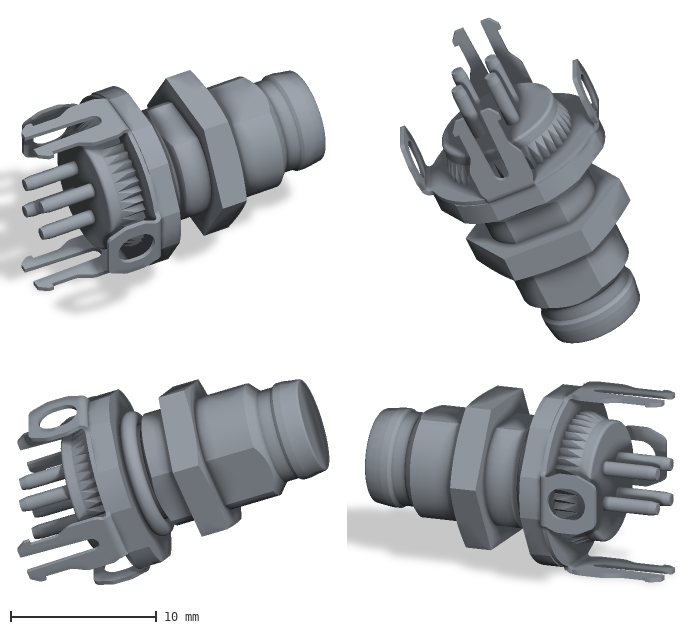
import cadquery as cq
import math


SOCKET_DIAMETER = 6.5
COLLAR_DIAMETER = 6.9
MATING_EDGE_FILLET = 0.17
COLLAR_START_DEPTH = 1.25
COLLAR_END_DEPTH = 1.75
SOCKET_NECK_DEPTH = 2.01
BODY_CONE_DEPTH = 2.97
BODY_START_DEPTH = 3.67
BODY_DIAMETER = 8.01
BODY_ACROSS_FLATS = 6.97
BODY_END_DEPTH = 11.13
RING_NECK_DIAMETER = 6.7
RING_NECK_DEPTH = 11.47

NUT_ACROSS_FLATS = 10.03
NUT_START_DEPTH = 7.19
NUT_THICKNESS = 2.05
NUT_CHAMFER_DEPTH = 0.2

RING_OUTER_DIAMETER = 8.9
RING_SECTION_DIAMETER = 1.19
RING_CENTER_DEPTH = 12.17
FLANGE_DEPTH = 12.68
FLANGE_DIAMETER = 12.49
FLANGE_ACROSS_FLATS = 11.98
FLANGE_THICKNESS = 1.53

SHEET = 0.32
PLATE_DEPTH = FLANGE_DEPTH + FLANGE_THICKNESS
PLATE_DIAMETER = 12.3
BEND_INNER_RADIUS = 0.28
BEND_OUTER_RADIUS = BEND_INNER_RADIUS + SHEET
BEND_END_DEPTH = PLATE_DEPTH + BEND_OUTER_RADIUS
BEND_WIDTH = 3.48
LEAF_ROOT_FILLET = 0.42
LUG_SPAN = 13.3
PRONG_SPAN = 12.8
LEAF_SIDE_RADIUS = 0.95

LUG_WIDTH = 4.15
LUG_WIDE_START_DEPTH = 15.6
LUG_WIDE_END_DEPTH = 17.07
LUG_END_DEPTH = 18.42
LUG_END_WIDTH = 2.95
LUG_END_CORNER_RADIUS = 0.5
LUG_HOLE_LENGTH = 2.82
LUG_HOLE_WIDTH = 2.27
LUG_HOLE_DEPTH = 16.3

PRONG_WIDTH = 3.9
PRONG_WIDE_START_DEPTH = 15.25
PRONG_WIDE_END_DEPTH = 17.2
PRONG_WAIST_WIDTH = 2.85
PRONG_WAIST_DEPTH = 18.2
BARB_DEPTH = 20.18
BARB_WIDTH = 3.48
BARB_TAPER_DEPTH = 20.56
PRONG_TIP_DEPTH = 21.2
PRONG_TIP_WIDTH = 2.59
PRONG_TIP_CORNER_RADIUS = 0.21
SLOT_TOP_DEPTH = 15.7
SLOT_TOP_RADIUS = 0.5
SLOT_MOUTH_WIDTH = 1.31

BOSS_DIAMETER = 8.4
BOSS_END_DEPTH = 17.02
BOSS_EDGE_FILLET = 0.21
TOOTH_COUNT = 40
TOOTH_TIP_DIAMETER = 9.18
TOOTH_TAPER_DEPTH = 15.14
TOOTH_END_DEPTH = 16.18

PIN_DIAMETER = 1.0
PIN_OFFSET = 1.25
PIN_TAPER_DEPTH = 20.42
PIN_TIP_DEPTH = 20.92
PIN_TIP_DIAMETER = 0.83


def cross_section(depth):
    """Sketch plane across the axis; extruding from it goes deeper, towards -Y."""
    return cq.Workplane("XZ", origin=(0, -depth, 0))


def revolved(stations):
    """Solid of revolution through (diameter, depth) stations, closed on the axis."""
    outline = [(0, -stations[0][1])]
    outline += [(diameter / 2, -depth) for diameter, depth in stations]
    outline += [(0, -stations[-1][1])]
    return cq.Workplane("XY").polyline(outline).close().revolve(360, (0, 0), (0, 1))


def hexagon(across_flats, depth, thickness):
    """Hexagonal block with its corners on the X axis."""
    across_corners = across_flats / math.cos(math.radians(30))
    return cross_section(depth).polygon(6, across_corners).extrude(thickness)


def make_shell():
    front = revolved([
        (SOCKET_DIAMETER, 0),
        (COLLAR_DIAMETER, COLLAR_START_DEPTH),
        (COLLAR_DIAMETER, COLLAR_END_DEPTH),
        (SOCKET_DIAMETER, SOCKET_NECK_DEPTH),
        (SOCKET_DIAMETER, BODY_CONE_DEPTH),
    ])
    front = front.faces(">Y").edges().fillet(MATING_EDGE_FILLET)
    body = revolved([
        (SOCKET_DIAMETER, BODY_CONE_DEPTH),
        (BODY_DIAMETER, BODY_START_DEPTH),
        (BODY_DIAMETER, BODY_END_DEPTH),
        (RING_NECK_DIAMETER, RING_NECK_DEPTH),
        (RING_NECK_DIAMETER, FLANGE_DEPTH),
    ])
    flats = cross_section(BODY_CONE_DEPTH).rect(BODY_DIAMETER, BODY_ACROSS_FLATS)
    return front.union(body.intersect(flats.extrude(FLANGE_DEPTH - BODY_CONE_DEPTH)))


def make_nut():
    nut_end_depth = NUT_START_DEPTH + NUT_THICKNESS
    across_corners = NUT_ACROSS_FLATS / math.cos(math.radians(30))
    chamfer_envelope = revolved([
        (NUT_ACROSS_FLATS, NUT_START_DEPTH),
        (across_corners, NUT_START_DEPTH + NUT_CHAMFER_DEPTH),
        (across_corners, nut_end_depth),
    ])
    return hexagon(NUT_ACROSS_FLATS, NUT_START_DEPTH, NUT_THICKNESS).intersect(chamfer_envelope)


def make_sealing_ring():
    """O-ring seated slightly into the neck and the flange."""
    section_radius = RING_SECTION_DIAMETER / 2
    ring_radius = RING_OUTER_DIAMETER / 2 - section_radius
    section = cq.Workplane("XY").center(-ring_radius, -RING_CENTER_DEPTH).circle(section_radius)
    return section.revolve(360, (ring_radius, 0), (ring_radius, 1))


def make_flange():
    disc = cross_section(FLANGE_DEPTH).circle(FLANGE_DIAMETER / 2).extrude(FLANGE_THICKNESS)
    return disc.intersect(hexagon(FLANGE_ACROSS_FLATS, FLANGE_DEPTH, FLANGE_THICKNESS))


def make_plate():
    """Round plate with filleted leaf roots, cut square at the four bend lines."""
    lug_bend_span = LUG_SPAN - 2 * BEND_OUTER_RADIUS
    prong_bend_span = PRONG_SPAN - 2 * BEND_OUTER_RADIUS
    plane = cross_section(PLATE_DEPTH)
    plate = plane.circle(PLATE_DIAMETER / 2).extrude(SHEET)
    leaf_roots = plane.rect(LUG_SPAN, BEND_WIDTH).extrude(SHEET)
    leaf_roots = leaf_roots.union(plane.rect(BEND_WIDTH, PRONG_SPAN).extrude(SHEET))
    plate = plate.union(leaf_roots)

    root_half_width = BEND_WIDTH / 2
    root_reach = math.sqrt((PLATE_DIAMETER / 2) ** 2 - root_half_width ** 2)
    for x, z in ((root_reach, root_half_width), (root_half_width, root_reach)):
        for x_side in (-1, 1):
            for z_side in (-1, 1):
                corner = (x_side * x, -PLATE_DEPTH - SHEET / 2, z_side * z)
                root_edge = cq.selectors.NearestToPointSelector(corner)
                plate = plate.edges("|Y").edges(root_edge).fillet(LEAF_ROOT_FILLET)

    flat_roots = plane.rect(lug_bend_span, BEND_WIDTH).extrude(SHEET)
    flat_roots = flat_roots.union(plane.rect(BEND_WIDTH, prong_bend_span).extrude(SHEET))
    return plate.cut(leaf_roots.cut(flat_roots))


def make_bend(span):
    """Quarter bend that turns the plate into a leaf on the +Z side."""
    center_y = -BEND_END_DEPTH
    center_z = span / 2 - BEND_OUTER_RADIUS
    diagonal = math.sqrt(0.5)
    bend = (
        cq.Workplane("YZ")
        .moveTo(center_y + BEND_INNER_RADIUS, center_z)
        .lineTo(center_y + BEND_OUTER_RADIUS, center_z)
        .threePointArc(
            (center_y + BEND_OUTER_RADIUS * diagonal, center_z + BEND_OUTER_RADIUS * diagonal),
            (center_y, center_z + BEND_OUTER_RADIUS),
        )
        .lineTo(center_y, center_z + BEND_INNER_RADIUS)
        .threePointArc(
            (center_y + BEND_INNER_RADIUS * diagonal, center_z + BEND_INNER_RADIUS * diagonal),
            (center_y + BEND_INNER_RADIUS, center_z),
        )
        .close()
    )
    return bend.extrude(BEND_WIDTH / 2, both=True)


def leaf_plane(span):
    return cq.Workplane("XY", origin=(0, 0, span / 2 - SHEET))


def leaf_blank(span, stations):
    """Flat leaf on the +Z side, symmetric in X, through (width, depth) stations."""
    right_edge = [(width / 2, -depth) for width, depth in stations]
    left_edge = [(-x, y) for x, y in reversed(right_edge)]
    return leaf_plane(span).polyline(right_edge + left_edge).close().extrude(SHEET)


def round_corners(leaf, depths, radius):
    """Rounds the leaf corners that lie at the given depths."""
    margin = 0.02
    reach = LUG_SPAN
    for depth in depths:
        band = cq.selectors.BoxSelector((-reach, -depth - margin, -reach), (reach, -depth + margin, reach))
        leaf = leaf.edges("|Z").edges(band).fillet(radius)
    return leaf


def make_lug():
    lug = leaf_blank(LUG_SPAN, [
        (BEND_WIDTH, BEND_END_DEPTH),
        (LUG_WIDTH, LUG_WIDE_START_DEPTH),
        (LUG_WIDTH, LUG_WIDE_END_DEPTH),
        (LUG_END_WIDTH, LUG_END_DEPTH),
    ])
    lug = round_corners(lug, (LUG_WIDE_START_DEPTH, LUG_WIDE_END_DEPTH), LEAF_SIDE_RADIUS)
    lug = round_corners(lug, (LUG_END_DEPTH,), LUG_END_CORNER_RADIUS)
    hole_plane = leaf_plane(LUG_SPAN).center(0, -LUG_HOLE_DEPTH)
    hole = hole_plane.slot2D(LUG_HOLE_LENGTH, LUG_HOLE_WIDTH, 90).extrude(SHEET)
    return lug.cut(hole).union(make_bend(LUG_SPAN))


def make_prong():
    prong = leaf_blank(PRONG_SPAN, [
        (BEND_WIDTH, BEND_END_DEPTH),
        (PRONG_WIDTH, PRONG_WIDE_START_DEPTH),
        (PRONG_WIDTH, PRONG_WIDE_END_DEPTH),
        (PRONG_WAIST_WIDTH, PRONG_WAIST_DEPTH),
        (PRONG_WAIST_WIDTH, BARB_DEPTH),
        (BARB_WIDTH, BARB_DEPTH),
        (BARB_WIDTH, BARB_TAPER_DEPTH),
        (PRONG_TIP_WIDTH, PRONG_TIP_DEPTH),
    ])
    side_corners = (PRONG_WIDE_START_DEPTH, PRONG_WIDE_END_DEPTH, PRONG_WAIST_DEPTH)
    prong = round_corners(prong, side_corners, LEAF_SIDE_RADIUS)
    prong = round_corners(prong, (BARB_TAPER_DEPTH, PRONG_TIP_DEPTH), PRONG_TIP_CORNER_RADIUS)
    round_start = -SLOT_TOP_DEPTH - SLOT_TOP_RADIUS
    slot = (
        leaf_plane(PRONG_SPAN)
        .moveTo(-SLOT_MOUTH_WIDTH / 2, -PRONG_TIP_DEPTH)
        .lineTo(-SLOT_TOP_RADIUS, round_start)
        .threePointArc((0, -SLOT_TOP_DEPTH), (SLOT_TOP_RADIUS, round_start))
        .lineTo(SLOT_MOUTH_WIDTH / 2, -PRONG_TIP_DEPTH)
        .close()
        .extrude(SHEET)
    )
    return prong.cut(slot).union(make_bend(PRONG_SPAN))


def turned(leaf, angle):
    """Leaf swung about the connector axis."""
    return leaf.rotate((0, 0, 0), (0, 1, 0), angle)


def make_knurl():
    """V-shaped teeth whose crests taper down to the boss."""
    half_pitch = math.pi / TOOTH_COUNT
    outline = []
    for step in range(2 * TOOTH_COUNT):
        is_tip = step % 2 == 1
        radius = (TOOTH_TIP_DIAMETER if is_tip else BOSS_DIAMETER) / 2
        angle = step * half_pitch
        outline.append((radius * math.cos(angle), radius * math.sin(angle)))
    teeth = cross_section(PLATE_DEPTH).polyline(outline).close().extrude(TOOTH_END_DEPTH - PLATE_DEPTH)
    taper_envelope = revolved([
        (TOOTH_TIP_DIAMETER, PLATE_DEPTH),
        (TOOTH_TIP_DIAMETER, TOOTH_TAPER_DEPTH),
        (BOSS_DIAMETER, TOOTH_END_DEPTH),
    ])
    return teeth.intersect(taper_envelope)


def make_boss():
    boss = cross_section(PLATE_DEPTH).circle(BOSS_DIAMETER / 2).extrude(BOSS_END_DEPTH - PLATE_DEPTH)
    return boss.faces("<Y").edges().fillet(BOSS_EDGE_FILLET)


def make_pin(x, z):
    pin = revolved([
        (PIN_DIAMETER, PLATE_DEPTH),
        (PIN_DIAMETER, PIN_TAPER_DEPTH),
        (PIN_TIP_DIAMETER, PIN_TIP_DEPTH),
    ])
    return pin.translate((x, 0, z))


result = make_shell().union(make_nut()).union(make_flange()).union(make_sealing_ring())
result = result.union(make_plate()).union(make_boss()).union(make_knurl())

lug = make_lug()
prong = make_prong()
for side in (0, 180):
    result = result.union(turned(prong, side))
    result = result.union(turned(lug, side + 90))

for x in (-PIN_OFFSET, PIN_OFFSET):
    for z in (-PIN_OFFSET, PIN_OFFSET):
        result = result.union(make_pin(x, z))